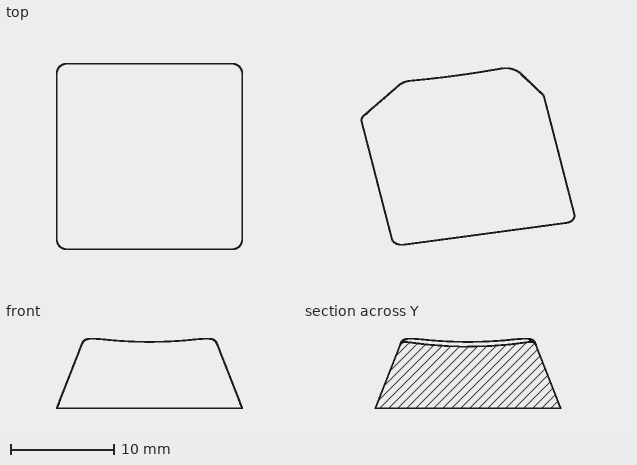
import cadquery as cq

base_width = 18.0
base_corner_radius = 1.0

blank_height = 8.0
blank_top_width = 11.74
blank_top_corner_radius = 2.23

dish_radius = 39.96
dish_floor = 6.0
rim_radius = 0.55


def rounded_square(width, corner_radius, height):
    """Sketch of a centred square with rounded corners at the given height."""
    sketch = cq.Sketch().rect(width, width).vertices().fillet(corner_radius)
    return sketch.moved(cq.Location(cq.Vector(0, 0, height)))


def tapered_blank():
    """Body with straight sloping sides and corners that widen upwards."""
    base = rounded_square(base_width, base_corner_radius, 0)
    top = rounded_square(blank_top_width, blank_top_corner_radius, blank_height)
    return cq.Workplane("XY").placeSketch(base, top).loft(ruled=True)


def dish_cutter():
    """Sphere whose lowest point is the middle of the dish."""
    return cq.Workplane("XY").sphere(dish_radius).translate((0, 0, dish_floor + dish_radius))


def with_rounded_rim(body):
    """Round the edge where the dish meets the sloping sides."""
    rim_edges = body.faces("%SPHERE").edges()
    return body.newObject(rim_edges.vals()).fillet(rim_radius)


result = with_rounded_rim(tapered_blank().cut(dish_cutter()))